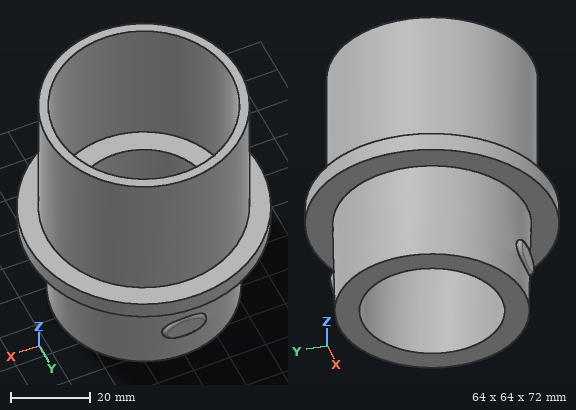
import cadquery as cq

total_height = 72.0
spigot_height = 27.0
flange_thickness = 5.0
flange_top = spigot_height + flange_thickness

flange_diameter = 64.0
socket_diameter = 53.2
socket_bore = 48.2
through_bore = 36.6
spigot_top_diameter = 50.05
spigot_bottom_diameter = 49.0

button_height = 11.5
button_face_distance = 25.2
button_width = 12.1
button_length = 7.3
button_depth = 2.9
button_edge_radius = 0.9


def make_body():
    """Tapered spigot, flange and socket, revolved about Z as a solid."""
    return (
        cq.Workplane("XZ")
        .moveTo(0, 0)
        .lineTo(spigot_bottom_diameter / 2, 0)
        .lineTo(spigot_top_diameter / 2, spigot_height)
        .lineTo(flange_diameter / 2, spigot_height)
        .lineTo(flange_diameter / 2, flange_top)
        .lineTo(socket_diameter / 2, flange_top)
        .lineTo(socket_diameter / 2, total_height)
        .lineTo(0, total_height)
        .close()
        .revolve(360, (0, 0, 0), (0, 1, 0))
    )


def make_button():
    """Flat oval button facing -Y with a rounded rim, its root buried in the wall."""
    return (
        cq.Workplane("XZ", origin=(0, -button_face_distance, button_height))
        .ellipse(button_width / 2, button_length / 2)
        .extrude(-button_depth)
        .faces("<Y")
        .edges()
        .fillet(button_edge_radius)
    )


body = make_body()
button = make_button()
for angle in (0, 180):
    body = body.union(button.rotate((0, 0, 0), (0, 0, 1), angle))

lower_bore = cq.Workplane("XY").circle(through_bore / 2).extrude(total_height)
upper_bore = (
    cq.Workplane("XY", origin=(0, 0, flange_top))
    .circle(socket_bore / 2)
    .extrude(total_height - flange_top)
)

result = body.cut(lower_bore).cut(upper_bore)